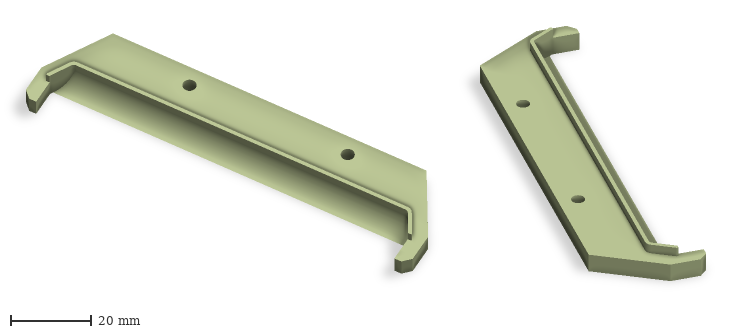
import cadquery as cq
import math

length = 110.0
depth = 28.0
plate_thickness = 5.0
shoulder_depth = 18.0
slant_angle = math.radians(60)
arm_width = 4.1
arm_chamfer = 2.1

total_height = 7.5
rim_thickness = 1.0
opening_back = -15.0
opening_slant_end = -20.9
rim_front = -21.1
opening_corner_radius = 1.0
arm_blend_radius = 1.0

ledge_front = -20.1
ledge_radius = 5.2

hole_diameter = 3.5
hole_back_distance = 5.1
hole_positions = (-20.0, 25.0)

half_length = length / 2
opening_half_width = half_length - arm_width


def opening_prism(margin, front, height):
    """Opening enlarged by margin, with slanted corners at the back."""
    half_width = opening_half_width + margin
    back = opening_back + margin
    slant_end = opening_slant_end + margin * math.tan((math.pi / 2 - slant_angle) / 2)
    back_half_width = half_width - (back - slant_end) / math.tan(slant_angle)
    prism = (
        cq.Workplane("XY")
        .polyline([
            (-half_width, front),
            (-half_width, slant_end),
            (-back_half_width, back),
            (back_half_width, back),
            (half_width, slant_end),
            (half_width, front),
        ])
        .close()
        .extrude(height)
    )
    return prism.edges("|Z").edges(">Y").fillet(opening_corner_radius + margin)


def plate():
    back_half_width = half_length - shoulder_depth / math.tan(slant_angle)
    blank = (
        cq.Workplane("XY")
        .polyline([
            (-back_half_width, 0),
            (back_half_width, 0),
            (half_length, -shoulder_depth),
            (half_length, -depth),
            (-half_length, -depth),
            (-half_length, -shoulder_depth),
        ])
        .close()
        .extrude(plate_thickness)
    )
    return blank.edges("|Z and <Y").chamfer(arm_chamfer)


def ledge():
    """Wedge with a concave top, trimmed to the opening."""
    run = opening_back - ledge_front
    chord = math.hypot(run, plate_thickness)
    sagitta = ledge_radius - math.sqrt(ledge_radius**2 - (chord / 2) ** 2)
    arc_middle = (
        (opening_back + ledge_front) / 2 + sagitta * plate_thickness / chord,
        plate_thickness / 2 - sagitta * run / chord,
    )
    wedge = (
        cq.Workplane("YZ")
        .moveTo(ledge_front, 0)
        .threePointArc(arc_middle, (opening_back, plate_thickness))
        .lineTo(opening_back, 0)
        .close()
        .extrude(half_length, both=True)
    )
    return wedge.intersect(opening_prism(0, -depth, plate_thickness))


def screw_holes():
    return (
        cq.Workplane("XY")
        .pushPoints([(x, -hole_back_distance) for x in hole_positions])
        .circle(hole_diameter / 2)
        .extrude(plate_thickness)
    )


rim = opening_prism(rim_thickness, rim_front, total_height)
opening = opening_prism(0, -depth, total_height)
slant_end_corners = cq.selectors.BoxSelector(
    (-half_length, opening_slant_end - rim_thickness, 0),
    (half_length, opening_slant_end + rim_thickness, total_height),
)
opening = opening.edges("|Z").edges(slant_end_corners).fillet(arm_blend_radius)
result = plate().union(rim).cut(opening).union(ledge()).cut(screw_holes())